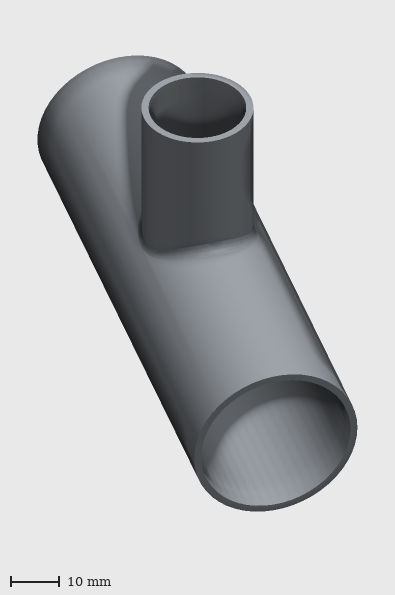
import cadquery as cq

run_length = 110.0
run_outer_diameter = 35.0
run_bore_diameter = 32.0

branch_outer_diameter = 23.0
branch_bore_diameter = 20.0
total_height = 63.5
branch_top = total_height - run_outer_diameter / 2

joint_fillet = 2.0

selection_margin = 0.5


def run_cylinder(diameter):
    """Cylinder along X with the full run length."""
    return cq.Workplane("YZ").circle(diameter / 2).extrude(run_length / 2, both=True)


def branch_cylinder(diameter):
    """Cylinder along Z from the run axis to the top of the branch."""
    return cq.Workplane("XY").circle(diameter / 2).extrude(branch_top)


def joint_edges():
    """Selector for the curve where the two outer surfaces meet."""
    half_width = branch_outer_diameter / 2 + selection_margin
    top = run_outer_diameter / 2 + selection_margin
    return cq.selectors.BoxSelector(
        (-half_width, -half_width, selection_margin),
        (half_width, half_width, top),
        boundingbox=True,
    )


outer_tee = run_cylinder(run_outer_diameter).union(branch_cylinder(branch_outer_diameter))
outer_tee = outer_tee.edges(joint_edges()).fillet(joint_fillet)

result = outer_tee.cut(run_cylinder(run_bore_diameter)).cut(branch_cylinder(branch_bore_diameter))